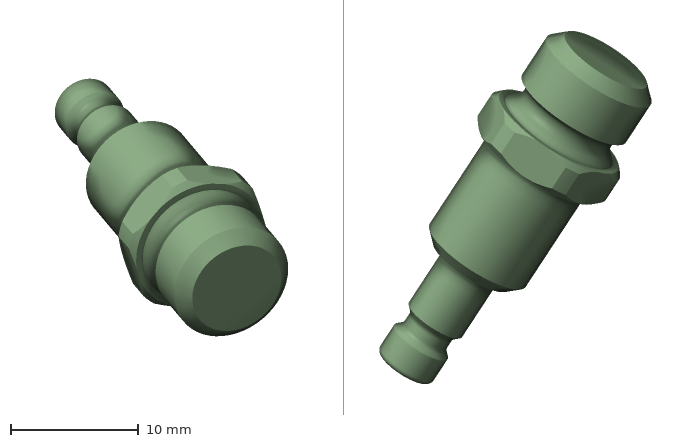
import cadquery as cq
import math

total_length = 30.05

pin_radius = 5.0 / 2
tip_round = 0.48
groove_radius = 3.95 / 2
groove_corner = 0.5
groove_start = 2.52
groove_end = 4.7

shoulder_x = 9.98
shoulder_fillet = 0.27
body_radius = 9.0 / 2
body_chamfer = 1.0

hex_start = 19.95
hex_width = 3.1
hex_end = hex_start + hex_width
hex_across_flats = 11.0
hex_corner_radius = 6.0
hex_tilt = -15.0
front_bevel = 0.57
rear_bevel = 0.48

neck_radius = 8.1 / 2
neck_cone_radius = 4.95
neck_arc_radius = 1.0
undercut_edge_x = 24.97
slope = math.radians(45)

head_start = 25.33
head_radius = 9.75 / 2
head_end_radius = 7.63 / 2
head_chamfer = head_radius - head_end_radius


def add_arc(outline, center, radius, start_angle, end_angle):
    """Draw an arc; angles are measured from the direction pointing at the turning axis."""
    points = []
    for angle in ((start_angle + end_angle) / 2, end_angle):
        x = center[0] + radius * math.sin(angle)
        r = center[1] - radius * math.cos(angle)
        points.append((x, r))
    return outline.threePointArc(*points)


def turned_body():
    """Revolve everything except the hexagonal collar."""
    groove_depth = pin_radius - groove_radius
    arc_height = groove_corner * (1 - math.cos(slope))
    arc_length = groove_corner * math.sin(slope)
    flank = groove_depth - arc_height
    groove_center_r = groove_radius + groove_corner
    front_center_x = groove_start + flank + arc_length
    rear_center_x = groove_end - flank - arc_length

    neck_center_r = neck_radius + neck_arc_radius
    cone_end_r = neck_center_r - neck_arc_radius * math.cos(slope)
    cone_end_x = hex_end + neck_cone_radius - cone_end_r
    neck_center_x = cone_end_x + neck_arc_radius * math.sin(slope)
    undercut_angle = math.asin((undercut_edge_x - neck_center_x) / neck_arc_radius)

    outline = cq.Workplane("XY").lineTo(0, pin_radius - tip_round)
    outline = outline.radiusArc((tip_round, pin_radius), tip_round)
    outline = outline.lineTo(groove_start, pin_radius)
    outline = outline.lineTo(groove_start + flank, pin_radius - flank)
    outline = add_arc(outline, (front_center_x, groove_center_r), groove_corner, -slope, 0)
    outline = outline.lineTo(rear_center_x, groove_radius)
    outline = add_arc(outline, (rear_center_x, groove_center_r), groove_corner, 0, slope)
    outline = outline.lineTo(groove_end, pin_radius)
    outline = outline.lineTo(shoulder_x - shoulder_fillet, pin_radius)
    outline = outline.radiusArc((shoulder_x, pin_radius + shoulder_fillet), -shoulder_fillet)
    outline = outline.lineTo(shoulder_x, body_radius - body_chamfer)
    outline = outline.lineTo(shoulder_x + body_chamfer, body_radius)
    outline = outline.lineTo(hex_end, body_radius)
    outline = outline.lineTo(hex_end, neck_cone_radius)
    outline = outline.lineTo(cone_end_x, cone_end_r)
    outline = add_arc(outline, (neck_center_x, neck_center_r), neck_arc_radius, -slope, undercut_angle)
    outline = outline.lineTo(head_start, head_radius)
    outline = outline.lineTo(total_length - head_chamfer, head_radius)
    outline = outline.lineTo(total_length, head_end_radius)
    outline = outline.lineTo(total_length, 0).close()
    return outline.revolve(360, (0, 0, 0), (1, 0, 0))


def hex_collar():
    """Trim a hexagonal prism with a bevelled round disc."""
    across_corners = hex_across_flats / math.cos(math.radians(30))
    prism = cq.Workplane("YZ", origin=(hex_start, 0, 0)).polygon(6, across_corners).extrude(hex_width)
    prism = prism.rotate((0, 0, 0), (1, 0, 0), hex_tilt)
    disc = cq.Workplane("YZ", origin=(hex_start, 0, 0)).circle(hex_corner_radius).extrude(hex_width)
    disc = disc.faces("<X").chamfer(front_bevel).faces(">X").chamfer(rear_bevel)
    return prism.intersect(disc)


result = turned_body().union(hex_collar())